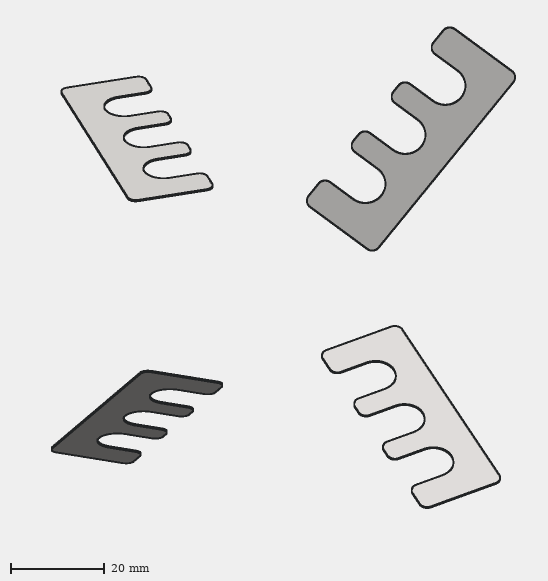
import cadquery as cq

length = 50.8
width = 19.05
thickness = 0.38
corner_radius = 1.8

slot_count = 3
slot_pitch = 14.0
slot_width = 8.65
slot_depth = 12.3

slot_radius = slot_width / 2
open_edge_y = width / 2
slot_arc_y = open_edge_y - slot_depth + slot_radius


def slot_cutter(center_x):
    """Straight-sided slot running from its round end to the open edge."""
    return (
        cq.Workplane("XY")
        .moveTo(center_x - slot_radius, open_edge_y)
        .lineTo(center_x - slot_radius, slot_arc_y)
        .threePointArc(
            (center_x, slot_arc_y - slot_radius),
            (center_x + slot_radius, slot_arc_y),
        )
        .lineTo(center_x + slot_radius, open_edge_y)
        .close()
        .extrude(thickness)
    )


plate = cq.Workplane("XY").box(length, width, thickness, centered=(True, True, False))
for index in range(slot_count):
    slot_x = (index - (slot_count - 1) / 2) * slot_pitch
    plate = plate.cut(slot_cutter(slot_x))

outer_corners = cq.selectors.BoxSelector(
    (-length, -width, -thickness), (length, -open_edge_y + corner_radius, 2 * thickness)
)
finger_corners = cq.selectors.BoxSelector(
    (-length, open_edge_y - corner_radius, -thickness), (length, width, 2 * thickness)
)
result = plate.edges("|Z").edges(outer_corners + finger_corners).fillet(corner_radius)